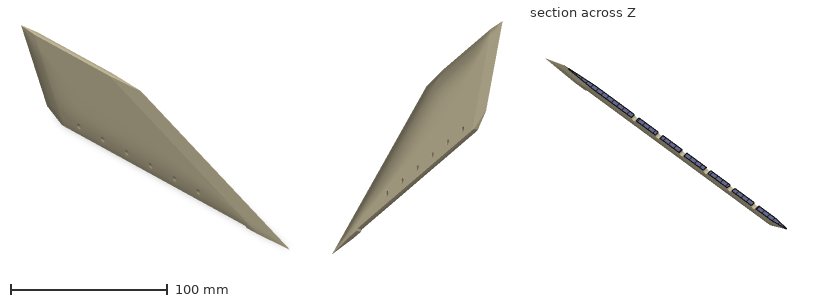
import cadquery as cq

length = 228.5
thickness = 3.2
height = 62.6

top_length = 101.7
heel_x = 22.2
heel_z = 8.5
base_start_x = 35.7
base_z = 1.1
step_start_x = 192.0
step_end_x = 193.5

front_bevel_width = 12.5
rear_bevel_width = 25.4
edge_thickness = 0.27

hole_count = 6
hole_diameter = 3.7
hole_pitch = 20.3
first_hole_x = 50.7
hole_z = 7.8


def blade_blank():
    """Full-thickness plate, centred on Y = 0."""
    outline = [
        (0, height),
        (top_length, height),
        (length, 0),
        (step_end_x, 0),
        (step_start_x, base_z),
        (base_start_x, base_z),
        (heel_x, heel_z),
    ]
    return cq.Workplane("XZ").polyline(outline).close().extrude(thickness / 2, both=True)


def bevel_cutter(edge_top_x, edge_bottom_x, edge_bottom_z, bevel_width, side):
    """Wedge following a slanted edge; a signed width points into the blade."""
    rake = (edge_bottom_x - edge_top_x) / (height - edge_bottom_z)
    face_y = side * thickness / 2
    edge_y = side * edge_thickness / 2
    base_x = edge_top_x + rake * height
    section = cq.Wire.makePolygon(
        [
            cq.Vector(base_x + bevel_width, face_y, 0),
            cq.Vector(base_x, edge_y, 0),
            cq.Vector(base_x - bevel_width, edge_y, 0),
            cq.Vector(base_x - bevel_width, face_y, 0),
        ],
        close=True,
    )
    sweep = cq.Vector(-rake * height, 0, height)
    return cq.Workplane(cq.Solid.extrudeLinear(section, [], sweep))


def mounting_holes():
    points = [(first_hole_x + i * hole_pitch, hole_z) for i in range(hole_count)]
    return (
        cq.Workplane("XZ")
        .pushPoints(points)
        .circle(hole_diameter / 2)
        .extrude(thickness, both=True)
    )


result = blade_blank()
for side in (-1, 1):
    result = result.cut(bevel_cutter(0, heel_x, heel_z, front_bevel_width, side))
    result = result.cut(bevel_cutter(top_length, length, 0, -rear_bevel_width, side))
result = result.cut(mounting_holes())